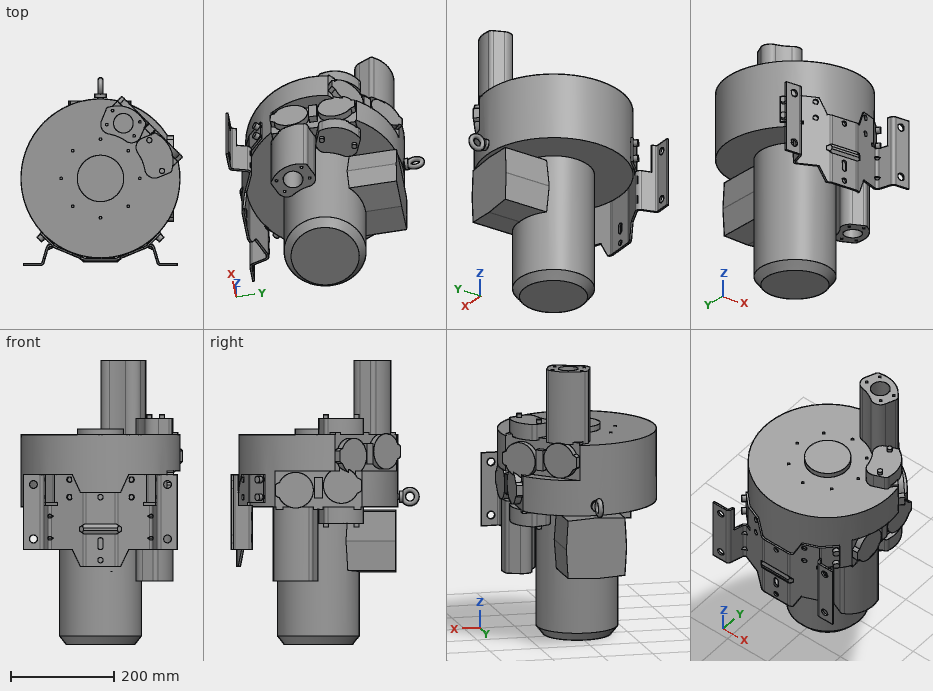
import cadquery as cq
import math


TOTAL_HEIGHT = 550.06

MOTOR_RADIUS = 79.5
MOTOR_END_RADIUS = 66.0
MOTOR_TAPER_HEIGHT = 17.0

HOUSING_RADIUS = 154.0
STAGE_HEIGHT = 70.0
MID_Z = 336.5
HOUSING_TOP = MID_Z + STAGE_HEIGHT
HOUSING_BOTTOM = MID_Z - STAGE_HEIGHT
HUB_RADIUS = 45.0
HUB_HEIGHT = 11.0
COVER_HOLE_COUNT = 8
COVER_HOLE_CIRCLE_RADIUS = 76.0
COVER_HOLE_DIAMETER = 5.0
COVER_HOLE_DEPTH = 10.0

UPPER_PORT_ANGLE = 45.0
PORT_FLAT = 129.0
FLANGE_FACE = 141.7
FLANGE_HALF_WIDTH = 83.04
FLANGE_DROP = 32.5
FLANGE_SKEW = 4.5
LOBE_RADIUS = 34.5
EAR_RADIUS = 15.0
EAR_OFFSET = 72.0
WEB_HALF_WIDTH = 8.0
WEB_HEIGHT = 40.0
PLATFORM_INNER = 110.0
PLATFORM_HALF_WIDTH = 82.5
PLATFORM_HEIGHT = 4.5

PORT_RADIUS = 115.6
PORT_HALF_ANGLE = 22.5
SILENCER_LENGTH = TOTAL_HEIGHT - HOUSING_TOP
END_OUTER = (11.0, 41.0)
SHOULDER_MIDDLE = (16.5, 40.0)
SHOULDER = (19.5, 36.0)
CROWN = (31.5, 0.0)
END_INNER = (-11.0, 41.0)
HAUNCH_MIDDLE = (-26.5, 33.5)
HAUNCH = (-29.7, 16.5)
WAIST = (-28.0, 0.0)
CAP_LENGTH = 31.5
SILENCER_BORE = 38.0
FIXING_RADIUS = 32.2
FIXING_HALF_SPREAD = 27.0
FIXING_HOLE_DIAMETER = 5.0
FIXING_HOLE_DEPTH = 15.0
CAP_BOLT_DIAMETER = 10.0
CAP_BOLT_HEIGHT = 7.0

BOX_CENTRE_X = -1.3
BOX_CENTRE_Z = 200.5
BOX_HALF = 60.2
BOX_CORNER_HALF = 56.8
BOX_FACE_Y = 150.0

EYE_Z = 286.5
EYE_OUTER_Y = 195.2
EYE_RING_RADIUS = 13.2
EYE_WIRE_RADIUS = 4.9
COLLAR_RADIUS = 11.2
COLLAR_START_Y = 156.5
COLLAR_END_Y = 163.4
EYE_STEM_RADIUS = 5.5
EYE_STEM_EMBEDDED = 10.0

SHEET = 4.0
WRAP_RADIUS = HOUSING_RADIUS + 0.2
BEND_ANGLE = 22.5
BRACKET_TOP = 329.0
BRACKET_BOTTOM = 184.0
TAB_TOP = 295.0
TAB_BOTTOM = 151.5
TAB_HALF_WIDTH = 39.0
SHOULDER_HALF_WIDTH = 54.5
EAR_BOTTOM = 275.5
EAR_OVERHANG = 7.5
RELIEF_HEIGHT = 6.0
RELIEF_START_X = 83.0
LEG_CREST_REACH = 13.5
LEG_HEEL = (112.3, -166.64)
FOOT_END_X = 149.0
FOOT_FACE_Y = LEG_HEEL[1] - SHEET / 2
FOOT_NECK_Y = -155.0
WRAP_BEND_RADIUS = 11.0
CREST_INNER_RADIUS = 5.0
HEEL_INNER_RADIUS = 4.0

BRACKET_HOLE_DIAMETER = 10.5
BRACKET_HOLE_Z = (285.5, 319.5)
TAB_HOLE_Z = 163.7
TAB_SLOT_Z = 195.5
TAB_SLOT_LENGTH = 23.0
FOOT_HOLE_X = 129.7
FOOT_HOLE_DIAMETER = 15.0
FOOT_HOLE_Z = (204.6, 310.0)
GUSSET_ARM = 13.0
GUSSET_HEIGHT = 17.5
GUSSET_Z = (206.0, 248.7)
EAR_BOLT_DIAMETER = 13.0
EAR_BOLT_TOP = 167.3
EAR_BOLT_ROOT = 140.0

BEAD_Z = 223.7
BEAD_HALF_HEIGHT = 9.5
BEAD_CREST_HALF_HEIGHT = 2.5
BEAD_FACE_Y = -161.4
BEAD_HALF_LENGTH = 41.0
BEAD_CREST_HALF_LENGTH = 33.0
BEAD_STRAIGHT_HALF_LENGTH = 31.0
BEAD_TIP_HALF_HEIGHT = 3.5


def cylinder(radius, bottom, top):
    return cq.Workplane("XY").workplane(offset=bottom).circle(radius).extrude(top - bottom)


def block(x_range, y_range, z_range):
    """Box given by its lower and upper limits along each axis."""
    size = [high - low for low, high in (x_range, y_range, z_range)]
    corner = (x_range[0], y_range[0], z_range[0])
    return cq.Workplane("XY").box(*size, centered=False).translate(corner)


def turn_z(part, angle):
    return part.rotate((0, 0, 0), (0, 0, 1), angle)


def flip_to_lower_stage(part):
    return part.rotate((0, 0, MID_Z), (1, 0, MID_Z), 180)


def make_motor():
    body = cylinder(MOTOR_RADIUS, MOTOR_TAPER_HEIGHT, HOUSING_BOTTOM)
    taper = (
        cq.Workplane("XY")
        .circle(MOTOR_END_RADIUS)
        .workplane(offset=MOTOR_TAPER_HEIGHT)
        .circle(MOTOR_RADIUS)
        .loft(ruled=True)
    )
    return body.union(taper)


def opposite(point):
    """Mirror image of an outline point across the radial line."""
    return (point[0], -point[1])


def silencer_body(length):
    """Bean-shaped column on the +X side, its convex flank facing outward."""
    outline = (
        cq.Workplane("XY")
        .workplane(offset=HOUSING_TOP)
        .center(PORT_RADIUS, 0)
        .moveTo(*opposite(END_OUTER))
        .threePointArc(opposite(SHOULDER_MIDDLE), opposite(SHOULDER))
        .threePointArc(CROWN, SHOULDER)
        .threePointArc(SHOULDER_MIDDLE, END_OUTER)
        .lineTo(*END_INNER)
        .threePointArc(HAUNCH_MIDDLE, HAUNCH)
        .threePointArc(WAIST, opposite(HAUNCH))
        .threePointArc(opposite(HAUNCH_MIDDLE), opposite(END_INNER))
        .close()
    )
    return outline.extrude(length)


def fixing_points(spread_angles):
    """Points on the fixing circle around the port, measured from its tangential line."""
    angles = [math.radians(side + spread) for side in (90, -90) for spread in spread_angles]
    return [
        (PORT_RADIUS + FIXING_RADIUS * math.cos(a), FIXING_RADIUS * math.sin(a)) for a in angles
    ]


def make_open_silencer():
    top = cq.Workplane("XY").workplane(offset=HOUSING_TOP + SILENCER_LENGTH)
    bore_depth = SILENCER_LENGTH - PLATFORM_HEIGHT
    bore = top.center(PORT_RADIUS, 0).circle(SILENCER_BORE / 2).extrude(-bore_depth)
    fixings = (
        top.pushPoints(fixing_points((-FIXING_HALF_SPREAD, FIXING_HALF_SPREAD)))
        .circle(FIXING_HOLE_DIAMETER / 2)
        .extrude(-FIXING_HOLE_DEPTH)
    )
    return silencer_body(SILENCER_LENGTH).cut(bore).cut(fixings)


def make_capped_silencer():
    bolts = (
        cq.Workplane("XY")
        .workplane(offset=HOUSING_TOP + CAP_LENGTH)
        .pushPoints(fixing_points((0,)))
        .circle(CAP_BOLT_DIAMETER / 2)
        .extrude(CAP_BOLT_HEIGHT)
    )
    return silencer_body(CAP_LENGTH).union(bolts)


def make_flange():
    """Two round lobes with bolt ears, joined by a web, standing out from the port flat."""
    lobe_y = PORT_RADIUS * math.sin(math.radians(PORT_HALF_ANGLE))
    centre_z = HOUSING_TOP - FLANGE_DROP - FLANGE_SKEW
    face = cq.Workplane("YZ").workplane(offset=PORT_FLAT)
    depth = FLANGE_FACE - PORT_FLAT
    flange = face.center(0, centre_z).rect(2 * WEB_HALF_WIDTH, WEB_HEIGHT).extrude(depth)
    for side in (1, -1):
        lobe = face.center(side * lobe_y, centre_z + side * FLANGE_SKEW)
        flange = flange.union(lobe.circle(LOBE_RADIUS).extrude(depth))
        ear = face.center(side * EAR_OFFSET, centre_z + side * FLANGE_SKEW)
        flange = flange.union(ear.circle(EAR_RADIUS).extrude(depth))
    return flange.intersect(
        block(
            (PORT_FLAT, FLANGE_FACE),
            (-FLANGE_HALF_WIDTH, FLANGE_HALF_WIDTH),
            (MID_Z - LOBE_RADIUS, HOUSING_TOP + LOBE_RADIUS),
        )
    )


def make_port_group():
    """Platform, flange and silencers of the upper stage, ports toward +X."""
    platform = block(
        (PLATFORM_INNER, PORT_FLAT),
        (-PLATFORM_HALF_WIDTH, PLATFORM_HALF_WIDTH),
        (HOUSING_TOP, HOUSING_TOP + PLATFORM_HEIGHT),
    )
    return (
        platform.union(make_flange())
        .union(turn_z(make_open_silencer(), PORT_HALF_ANGLE))
        .union(turn_z(make_capped_silencer(), -PORT_HALF_ANGLE))
    )


def make_housing():
    port_side = block(
        (PORT_FLAT, 2 * HOUSING_RADIUS),
        (-HOUSING_RADIUS, HOUSING_RADIUS),
        (MID_Z, HOUSING_TOP),
    )
    ports = make_port_group()
    body = cylinder(HOUSING_RADIUS, HOUSING_BOTTOM, HOUSING_TOP)
    body = body.cut(turn_z(port_side, UPPER_PORT_ANGLE)).cut(flip_to_lower_stage(port_side))
    body = body.union(turn_z(ports, UPPER_PORT_ANGLE)).union(flip_to_lower_stage(ports))
    hub = cylinder(HUB_RADIUS, HOUSING_TOP, HOUSING_TOP + HUB_HEIGHT)
    cover_holes = (
        cq.Workplane("XY")
        .workplane(offset=HOUSING_TOP)
        .polarArray(COVER_HOLE_CIRCLE_RADIUS, 0, 360, COVER_HOLE_COUNT)
        .circle(COVER_HOLE_DIAMETER / 2)
        .extrude(-COVER_HOLE_DEPTH)
    )
    return body.union(hub).cut(cover_holes)


def make_terminal_box():
    """Box whose four sides each bulge to a shallow ridge."""
    half, corner = BOX_HALF, BOX_CORNER_HALF
    outline = [
        (half, 0), (corner, corner), (0, half), (-corner, corner),
        (-half, 0), (-corner, -corner), (0, -half), (corner, -corner),
    ]
    return (
        cq.Workplane("XZ")
        .center(BOX_CENTRE_X, BOX_CENTRE_Z)
        .polyline(outline)
        .close()
        .extrude(-BOX_FACE_Y)
    )


def make_eye_bolt():
    ring_y = EYE_OUTER_Y - EYE_RING_RADIUS - EYE_WIRE_RADIUS
    ring_centre = cq.Vector(0, ring_y, EYE_Z)
    ring = cq.Workplane(
        cq.Solid.makeTorus(EYE_RING_RADIUS, EYE_WIRE_RADIUS, ring_centre, cq.Vector(1, 0, 0))
    )
    axis = cq.Workplane("XZ").center(0, EYE_Z)
    collar = (
        axis.workplane(offset=-COLLAR_START_Y)
        .circle(COLLAR_RADIUS)
        .extrude(COLLAR_START_Y - COLLAR_END_Y)
    )
    stem_start = HOUSING_RADIUS - EYE_STEM_EMBEDDED
    stem = (
        axis.workplane(offset=-stem_start)
        .circle(EYE_STEM_RADIUS)
        .extrude(stem_start - COLLAR_START_Y)
    )
    return collar.union(stem).union(ring)


def ribbon(path, bend_radii, bottom, top):
    """Upright sheet whose middle line follows the path, with one inner radius per bend."""
    left = []
    right = []
    directions = []
    for start, end in zip(path, path[1:]):
        length = math.dist(start, end)
        directions.append(((end[0] - start[0]) / length, (end[1] - start[1]) / length))
    for index, (x, y) in enumerate(path):
        before = directions[max(index - 1, 0)]
        after = directions[min(index, len(directions) - 1)]
        cos_bend = before[0] * after[0] + before[1] * after[1]
        scale = SHEET / 2 / (1 + cos_bend)
        shift_x = -(before[1] + after[1]) * scale
        shift_y = (before[0] + after[0]) * scale
        left.append((x + shift_x, y + shift_y))
        right.append((x - shift_x, y - shift_y))
    outline = cq.Workplane("XY").workplane(offset=bottom).polyline(left + right[::-1])
    sheet = outline.close().extrude(top - bottom)
    middle_z = (bottom + top) / 2
    for index, inner_radius in enumerate(bend_radii):
        before, after = directions[index : index + 2]
        turns_left = before[0] * after[1] - before[1] * after[0] > 0
        inner, outer = (left, right) if turns_left else (right, left)
        for side, radius in ((inner, inner_radius), (outer, inner_radius + SHEET)):
            corner = (*side[index + 1], middle_z)
            edge = sheet.edges("|Z").edges(cq.selectors.NearestToPointSelector(corner))
            sheet = edge.fillet(radius)
    return sheet


def polar(radius, angle):
    """Point at an angle counted from -Y toward +X."""
    turn = math.radians(angle)
    return (radius * math.sin(turn), -radius * math.cos(turn))


PANEL_MIDDLE = WRAP_RADIUS + SHEET / 2
BEND_RADIUS = PANEL_MIDDLE / math.cos(math.radians(BEND_ANGLE / 2))
FIRST_BEND = polar(BEND_RADIUS, BEND_ANGLE / 2)
SECOND_BEND = polar(BEND_RADIUS, BEND_ANGLE * 3 / 2)
LEG_CREST = (
    SECOND_BEND[0] + LEG_CREST_REACH * math.cos(math.radians(BEND_ANGLE)),
    SECOND_BEND[1] + LEG_CREST_REACH * math.sin(math.radians(BEND_ANGLE)),
)


def make_front_panel():
    """Middle panel and both wings, trimmed to the waisted outline."""
    right = [FIRST_BEND, SECOND_BEND]
    left = [(-x, y) for x, y in reversed(right)]
    sheet = ribbon(left + right, [WRAP_BEND_RADIUS, WRAP_BEND_RADIUS], TAB_BOTTOM, BRACKET_TOP)
    reach = SECOND_BEND[0] + SHEET
    half = [
        (TAB_HALF_WIDTH, TAB_BOTTOM),
        (SHOULDER_HALF_WIDTH, BRACKET_BOTTOM),
        (reach, BRACKET_BOTTOM),
        (reach, BRACKET_TOP),
        (SHOULDER_HALF_WIDTH, BRACKET_TOP),
        (TAB_HALF_WIDTH, TAB_TOP),
    ]
    outline = half + [(-x, z) for x, z in reversed(half)]
    mask = cq.Workplane("XZ").polyline(outline).close().extrude(2 * HOUSING_RADIUS)
    return sheet.intersect(mask)


def make_bead():
    """Stiffening bead across the middle panel, sloping on all sides, with narrowed tips."""
    base_y = -WRAP_RADIUS
    panel_face_y = base_y - SHEET
    plan = [
        (-BEAD_HALF_LENGTH, base_y),
        (-BEAD_CREST_HALF_LENGTH, BEAD_FACE_Y),
        (BEAD_CREST_HALF_LENGTH, BEAD_FACE_Y),
        (BEAD_HALF_LENGTH, base_y),
    ]
    section = [
        (base_y, BEAD_Z - BEAD_HALF_HEIGHT),
        (panel_face_y, BEAD_Z - BEAD_HALF_HEIGHT),
        (BEAD_FACE_Y, BEAD_Z - BEAD_CREST_HALF_HEIGHT),
        (BEAD_FACE_Y, BEAD_Z + BEAD_CREST_HALF_HEIGHT),
        (panel_face_y, BEAD_Z + BEAD_HALF_HEIGHT),
        (base_y, BEAD_Z + BEAD_HALF_HEIGHT),
    ]
    plan_prism = cq.Workplane("XY").polyline(plan).close().extrude(BRACKET_TOP)
    section_prism = (
        cq.Workplane("YZ").polyline(section).close().extrude(BEAD_HALF_LENGTH, both=True)
    )
    side = [
        (BEAD_STRAIGHT_HALF_LENGTH, BEAD_Z + BEAD_HALF_HEIGHT),
        (BEAD_HALF_LENGTH, BEAD_Z + BEAD_TIP_HALF_HEIGHT),
        (BEAD_HALF_LENGTH, BEAD_Z - BEAD_TIP_HALF_HEIGHT),
        (BEAD_STRAIGHT_HALF_LENGTH, BEAD_Z - BEAD_HALF_HEIGHT),
    ]
    front = side + [(-x, z) for x, z in reversed(side)]
    front_prism = cq.Workplane("XZ").polyline(front).close().extrude(2 * HOUSING_RADIUS)
    return plan_prism.intersect(section_prism).intersect(front_prism)


def make_gusset(z):
    """Ridge filling the hollow side of the leg crest, fading out above and below."""
    arms = []
    for neighbour in (SECOND_BEND, LEG_HEEL):
        share = GUSSET_ARM / math.dist(LEG_CREST, neighbour)
        arms.append([c + share * (n - c) for c, n in zip(LEG_CREST, neighbour)])
    chord_middle = [(a + b) / 2 for a, b in zip(*arms)]
    depth = math.dist(LEG_CREST, chord_middle)
    inward = (chord_middle[0] - LEG_CREST[0], chord_middle[1] - LEG_CREST[1], 0)
    along_chord = (-inward[1], inward[0], 0)
    ridge = (
        cq.Workplane(cq.Plane((*LEG_CREST, z), inward, along_chord))
        .polyline([(0, -GUSSET_HEIGHT / 2), (depth, 0), (0, GUSSET_HEIGHT / 2)])
        .close()
        .extrude(GUSSET_ARM, both=True)
    )
    corner = cq.Workplane("XY").polyline([LEG_CREST, *arms]).close().extrude(BRACKET_TOP)
    return ridge.intersect(corner)


def make_leg():
    """Leg on the +X side: short web over the crest, then a full-height foot."""
    path = [SECOND_BEND, LEG_CREST, LEG_HEEL, (FOOT_END_X, LEG_HEEL[1])]
    leg = ribbon(path, [CREST_INNER_RADIUS, HEEL_INNER_RADIUS], BRACKET_BOTTOM, BRACKET_TOP)
    web_top = EAR_BOTTOM - RELIEF_HEIGHT
    notch = block((0, FOOT_END_X), (FOOT_NECK_Y, 0), (web_top, BRACKET_TOP))
    leg = leg.cut(notch)
    for z in GUSSET_Z:
        leg = leg.union(make_gusset(z))
    return leg


def make_ear():
    """Panel on the +X side lying at two bend steps, with its two bolts."""
    angle = 2 * BEND_ANGLE
    line = polar(PANEL_MIDDLE, angle)
    turn = math.radians(angle)
    tip = (line[0] + EAR_OVERHANG * math.cos(turn), line[1] + EAR_OVERHANG * math.sin(turn))
    ear = ribbon([FIRST_BEND, SECOND_BEND, tip], [WRAP_BEND_RADIUS], EAR_BOTTOM, BRACKET_TOP)
    ear = ear.intersect(block((RELIEF_START_X, FOOT_END_X), (-HOUSING_RADIUS, 0), (0, BRACKET_TOP)))
    for z in BRACKET_HOLE_Z:
        bolt = cq.Solid.makeCylinder(
            EAR_BOLT_DIAMETER / 2,
            EAR_BOLT_TOP - EAR_BOLT_ROOT,
            cq.Vector(*polar(EAR_BOLT_ROOT, angle), z),
            cq.Vector(*polar(1, angle), 0),
        )
        ear = ear.union(cq.Workplane(bolt))
    return ear


def upright_slot(x, z, length, width, y_range):
    plane = cq.Workplane("XZ", origin=(x, y_range[1], z))
    return plane.slot2D(length, width, 90).extrude(y_range[1] - y_range[0])


def cross_hole(x, z, diameter, y_range):
    plane = cq.Workplane("XZ", origin=(x, y_range[1], z))
    return plane.circle(diameter / 2).extrude(y_range[1] - y_range[0])


def cut_bracket_openings(bracket):
    tab = (BEAD_FACE_Y, -WRAP_RADIUS + SHEET)
    bracket = bracket.cut(cross_hole(0, BRACKET_HOLE_Z[0], BRACKET_HOLE_DIAMETER, tab))
    bracket = bracket.cut(cross_hole(0, TAB_HOLE_Z, BRACKET_HOLE_DIAMETER, tab))
    bracket = bracket.cut(
        upright_slot(0, TAB_SLOT_Z, TAB_SLOT_LENGTH, BRACKET_HOLE_DIAMETER, tab)
    )
    foot = (FOOT_FACE_Y, FOOT_NECK_Y)
    for side in (1, -1):
        for z in FOOT_HOLE_Z:
            bracket = bracket.cut(cross_hole(side * FOOT_HOLE_X, z, FOOT_HOLE_DIAMETER, foot))
        for z in BRACKET_HOLE_Z:
            hole = cq.Solid.makeCylinder(
                BRACKET_HOLE_DIAMETER / 2,
                3 * SHEET,
                cq.Vector(*polar(WRAP_RADIUS - SHEET, side * BEND_ANGLE), z),
                cq.Vector(*polar(1, side * BEND_ANGLE), 0),
            )
            bracket = bracket.cut(cq.Workplane(hole))
        relief_x = sorted((side * RELIEF_START_X, side * FOOT_END_X))
        relief = block(relief_x, (FOOT_NECK_Y, 0), (EAR_BOTTOM - RELIEF_HEIGHT, EAR_BOTTOM))
        bracket = bracket.cut(relief)
    return bracket


def make_bracket():
    bracket = make_front_panel().union(make_bead())
    for part in (make_leg(), make_ear()):
        bracket = bracket.union(part).union(part.mirror("YZ"))
    return cut_bracket_openings(bracket)


result = (
    make_motor()
    .union(make_housing())
    .union(make_terminal_box())
    .union(make_eye_bolt())
    .union(make_bracket())
)